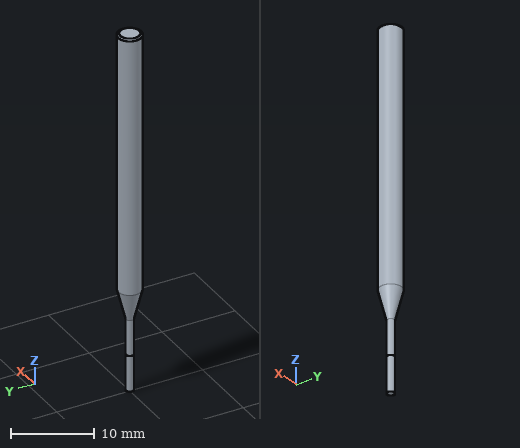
import cadquery as cq
import math

total_length = 50.2
shank_diameter = 3.15
drill_diameter = 1.05
point_angle = 140.0
cutting_length = 5.2
neck_end = 10.2
taper_end = 14.35
chamfer_width = 0.3
chamfer_height = 0.2

shank_radius = shank_diameter / 2
drill_radius = drill_diameter / 2
point_height = drill_radius / math.tan(math.radians(point_angle / 2))


def turned_body(profile):
    """Revolve (radius, height) points around Z, starting on the -Y side."""
    half_section = [(-radius, height) for radius, height in profile]
    return cq.Workplane("YZ").polyline(half_section).close().revolve(360, (0, 0), (0, 1))


def make_cutting_end():
    """Plain cylinder with a conical drill point."""
    return turned_body([
        (0, 0),
        (drill_radius, point_height),
        (drill_radius, cutting_length),
        (0, cutting_length),
    ])


def make_shank():
    """Neck, taper and chamfered shank, standing on the cutting end."""
    return turned_body([
        (0, cutting_length),
        (drill_radius, cutting_length),
        (drill_radius, neck_end),
        (shank_radius, taper_end),
        (shank_radius, total_length - chamfer_height),
        (shank_radius - chamfer_width, total_length),
        (0, total_length),
    ])


cutting_end = make_cutting_end()
shank = make_shank()

result = cq.Compound.makeCompound([cutting_end.val(), shank.val()])